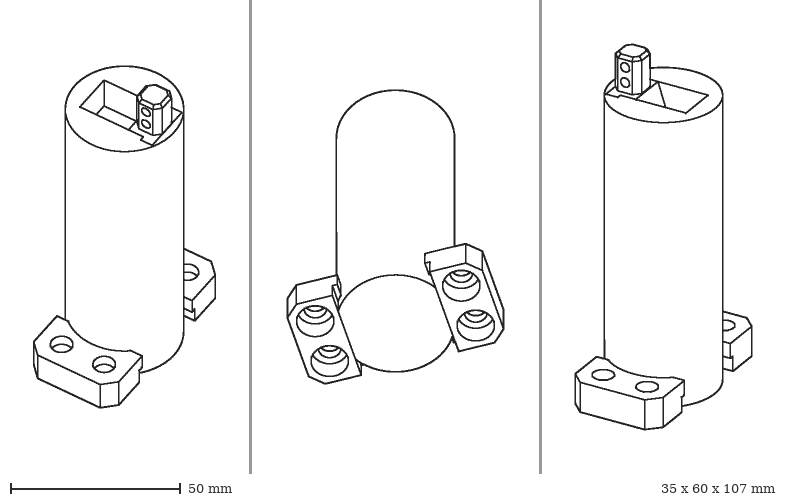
import cadquery as cq
import math

total_height = 107.0
column_diameter = 35.0
column_height = 95.0

feet_span = 60.0
foot_width = 30.0
foot_height = 10.0
foot_lip_height = 5.0
foot_lip_y = 13.5
foot_base_y = 15.0
foot_corner = 4.0
foot_hole_diameter = 6.6
foot_counterbore_diameter = 11.0
foot_counterbore_depth = 6.5
foot_hole_x = 7.5
foot_hole_y = 22.5

pocket_depth = 11.0
pocket_width = 13.1
pocket_left_x = -11.5
pocket_right_x = foot_width / 2
head_width = 16.0
head_left_x = 10.9

slider_top_x = 5.7
slider_slope_angle = 18.0

post_width = 9.0
post_height = total_height - column_height
post_corner = 2.0
post_top_chamfer = 1.0
post_hole_diameter = 3.0
post_hole_pitch = 5.0
post_top_hole_depth = 3.5

pocket_floor_z = column_height - pocket_depth


def box(x_min, x_max, y_min, y_max, z_min, z_max):
    """Block between the given limits."""
    return (
        cq.Workplane("XY")
        .box(x_max - x_min, y_max - y_min, z_max - z_min, centered=False)
        .translate((x_min, y_min, z_min))
    )


def t_block(left_x):
    """T-shaped block as deep as the pocket, with its narrow stem starting at left_x."""
    stem = box(left_x, pocket_right_x, -pocket_width / 2, pocket_width / 2, pocket_floor_z, column_height)
    head = box(head_left_x, pocket_right_x, -head_width / 2, head_width / 2, pocket_floor_z, column_height)
    return stem.union(head)


def foot_blank(side):
    """Stepped block of one foot; side is +1 for the +Y foot and -1 for the -Y foot."""
    outer_y = side * feet_span / 2
    lip_y = side * foot_lip_y
    base_y = side * foot_base_y
    profile = [
        (outer_y, 0),
        (outer_y, foot_height),
        (lip_y, foot_height),
        (lip_y, foot_lip_height),
        (base_y, foot_lip_height),
        (base_y, 0),
    ]
    return cq.Workplane("YZ").polyline(profile).close().extrude(foot_width / 2, both=True)


def make_foot(side):
    """Foot with two cut outer corners and two vertical screw holes counterbored from below."""
    outer_face = ">Y" if side > 0 else "<Y"
    foot = foot_blank(side).faces(outer_face).edges("|Z").chamfer(foot_corner)
    hole_places = [(-foot_hole_x, side * foot_hole_y), (foot_hole_x, side * foot_hole_y)]
    for diameter, depth in (
        (foot_hole_diameter, foot_height),
        (foot_counterbore_diameter, foot_counterbore_depth),
    ):
        foot = foot.cut(cq.Workplane("XY").pushPoints(hole_places).circle(diameter / 2).extrude(depth))
    return foot


def make_column():
    """Round column with the T pocket on top and a stepped recess for each foot."""
    column = cq.Workplane("XY").circle(column_diameter / 2).extrude(column_height)
    column = column.cut(t_block(pocket_left_x))
    for side in (-1, 1):
        column = column.cut(foot_blank(side))
    return column


def make_slider():
    """T-shaped slider whose narrow end slopes outward towards the pocket floor."""
    slope_run = pocket_depth * math.tan(math.radians(slider_slope_angle))
    slider_bottom_x = slider_top_x - slope_run
    slope_waste = (
        cq.Workplane("XZ")
        .polyline([
            (slider_bottom_x, pocket_floor_z),
            (slider_bottom_x, column_height),
            (slider_top_x, column_height),
        ])
        .close()
        .extrude(pocket_width / 2, both=True)
    )
    return t_block(slider_bottom_x).cut(slope_waste)


def make_post():
    """Eight-sided post with a chamfered top and two cross holes along Y."""
    center_x = pocket_right_x - post_width / 2
    post = (
        cq.Workplane("XY", origin=(center_x, 0, column_height))
        .rect(post_width, post_width)
        .extrude(post_height)
        .edges("|Z")
        .chamfer(post_corner)
        .faces(">Z")
        .chamfer(post_top_chamfer)
    )
    top_hole_z = total_height - post_top_hole_depth
    holes = (
        cq.Workplane("XZ")
        .pushPoints([(center_x, top_hole_z), (center_x, top_hole_z - post_hole_pitch)])
        .circle(post_hole_diameter / 2)
        .extrude(post_width, both=True)
    )
    return post.cut(holes)


column = make_column()
slider = make_slider()
post = make_post()
feet = [make_foot(side) for side in (-1, 1)]

result = cq.Compound.makeCompound([
    column.val(),
    slider.val(),
    post.val(),
    *[foot.val() for foot in feet],
])